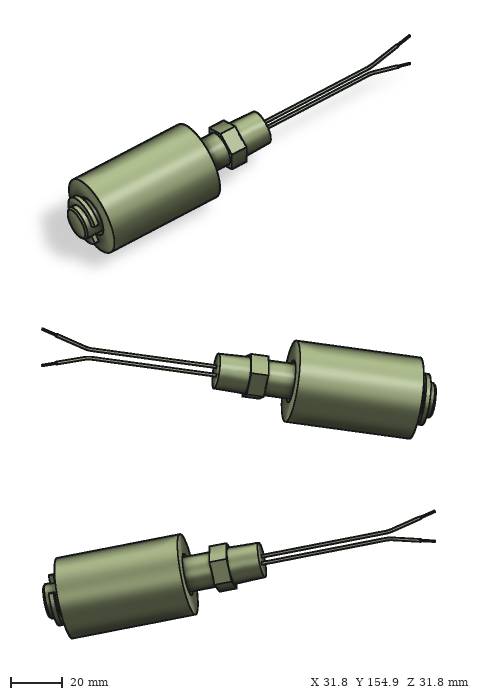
import cadquery as cq
import math


stem_diameter = 13.7
stem_radius = stem_diameter / 2
stem_chamfer = 0.75
hex_start = 66.9
hex_length = 6.8
hex_across_flats = 15.875
hex_across_corners = hex_across_flats / math.cos(math.radians(30))
thread_start = hex_start + hex_length
thread_length = 12.1
thread_taper = 1 / 16
thread_large_diameter = 14.44
thread_small_diameter = thread_large_diameter - thread_taper * thread_length
stem_length = thread_start + thread_length

float_diameter = 31.75
float_bore_diameter = 16.3
float_start = 7.1
float_length = 49.1

clip_start = 2.9
clip_thickness = 1.9
clip_outer_diameter = 20.0
clip_opening_apex = 3.4
clip_opening_angle = 90
clip_tip_fillet = 0.6

overall_length = 154.92
wire_offset = 2.05
insulation_diameter = 1.2
core_diameter = 0.7
splay_angle = 20
bend_radius = 8.0
splayed_insulation_length = 12.0
core_length = 6.0


def rod_along_y(diameter, start, length):
    """Solid cylinder on the Y axis from start to start + length."""
    base = cq.Workplane("XZ", origin=(0, start, 0))
    return base.circle(diameter / 2).extrude(-length)


def make_stem():
    rod = rod_along_y(stem_diameter, 0, thread_start).faces("<Y").chamfer(stem_chamfer)
    hexagon = (
        cq.Workplane("XZ", origin=(0, hex_start, 0))
        .transformed(rotate=(0, 0, 90))
        .polygon(6, hex_across_corners)
        .extrude(-hex_length)
    )
    thread = cq.Workplane(
        cq.Solid.makeCone(
            thread_large_diameter / 2,
            thread_small_diameter / 2,
            thread_length,
            pnt=cq.Vector(0, thread_start, 0),
            dir=cq.Vector(0, 1, 0),
        )
    )
    return rod.union(hexagon).union(thread)


def make_float():
    body = rod_along_y(float_diameter, float_start, float_length)
    return body.cut(rod_along_y(float_bore_diameter, float_start, float_length))


def make_clip():
    ring = rod_along_y(clip_outer_diameter, clip_start, clip_thickness)
    ring = ring.cut(rod_along_y(stem_diameter, clip_start, clip_thickness))
    opening_reach = clip_outer_diameter
    opening_half_width = opening_reach * math.tan(math.radians(clip_opening_angle / 2))
    opening = (
        cq.Workplane("XZ", origin=(0, clip_start, 0))
        .moveTo(clip_opening_apex, 0)
        .lineTo(clip_opening_apex + opening_reach, opening_half_width)
        .lineTo(clip_opening_apex + opening_reach, -opening_half_width)
        .close()
        .extrude(-clip_thickness)
    )
    outer_tips = cq.selectors.BoxSelector(
        (stem_radius + clip_tip_fillet, clip_start, -clip_outer_diameter),
        (clip_outer_diameter, clip_start + clip_thickness, clip_outer_diameter),
    )
    return ring.cut(opening).edges("|Y").edges(outer_tips).fillet(clip_tip_fillet)


def make_wire(side):
    """Lead on the +Z side (side = 1) or the -Z side (side = -1), built from its centre line."""
    angle = math.radians(splay_angle)
    splay_y = math.cos(angle)
    splay_z = math.sin(angle)

    tip_y = overall_length - core_diameter / 2 * splay_z
    bend_end_y = tip_y - (splayed_insulation_length + core_length) * splay_y
    bend_start_y = bend_end_y - bend_radius * splay_z

    def bend_point(swept):
        """Centre-line point (Y, Z) after turning by the swept angle."""
        rise = bend_radius * (1 - math.cos(swept))
        return (bend_start_y + bend_radius * math.sin(swept), side * (wire_offset + rise))

    bend_end = bend_point(angle)
    strip_point = (
        bend_end[0] + splayed_insulation_length * splay_y,
        bend_end[1] + side * splayed_insulation_length * splay_z,
    )
    path = (
        cq.Workplane("YZ")
        .moveTo(stem_length, side * wire_offset)
        .lineTo(*bend_point(0))
        .threePointArc(bend_point(angle / 2), bend_end)
        .lineTo(*strip_point)
    )
    insulation = (
        cq.Workplane("XZ", origin=(0, stem_length, side * wire_offset))
        .circle(insulation_diameter / 2)
        .sweep(path)
    )
    core = cq.Solid.makeCylinder(
        core_diameter / 2,
        core_length,
        pnt=cq.Vector(0, *strip_point),
        dir=cq.Vector(0, splay_y, side * splay_z),
    )
    return insulation.union(cq.Workplane(core))


stem = make_stem()
float_body = make_float()
clip = make_clip()
wires = [make_wire(side) for side in (1, -1)]

result = cq.Compound.makeCompound(
    [stem.val(), float_body.val(), clip.val(), *[wire.val() for wire in wires]]
)